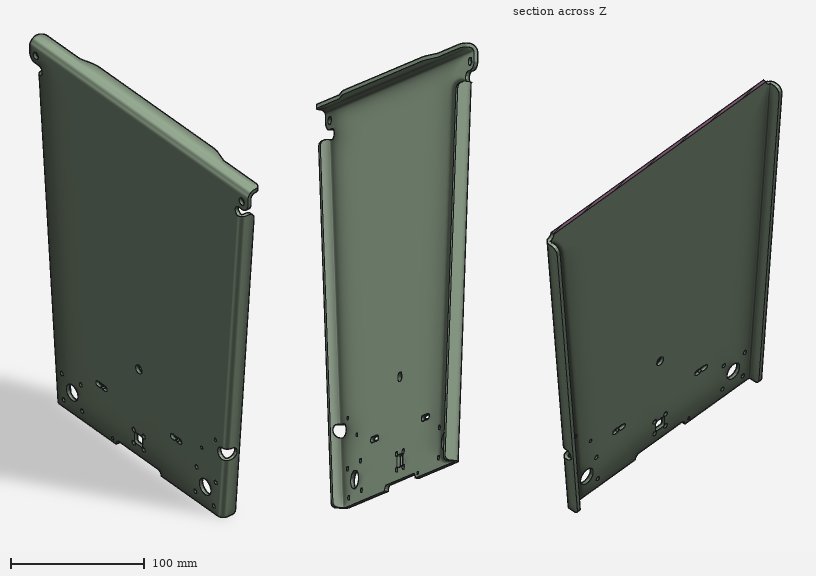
import cadquery as cq
import math

width = 262.0
height = 313.0
depth = 17.0
sheet = 3.0

top_bend = 7.2
lip_end_depth = 12.5
lip_end_radius = 5.3
lip_step_outer_x = 86.5
lip_step_inner_x = 72.0
lip_step_radius = 25.0

lug_bottom_z = 294.0
lug_radius = 7.0
lug_hole_x = 123.7
lug_hole_z = 301.0
lug_hole_diameter = 6.0
relief_tip_x = 116.0
flange_top_z = 285.5

panel_top_half = 123.0
panel_bottom_half = 100.2
flange_depth = 12.8
side_bend = 5.0
flange_top_radius = 6.0
flange_bottom_radius = 3.5

recess_half = 27.0
recess_height = 4.0
recess_radius = 3.8

center_hole_z = 82.5
center_hole_diameter = 7.2
slot_x = 44.8
slot_z = 43.2
slot_length = 13.5
slot_height = 4.5
slot_tab_radius = 1.3
port_x = 79.8
port_z = 18.5
port_diameter = 13.8
square_side = 9.7
square_corner_radius = 2.0
square_screw_offset = 6.0
square_screw_diameter = 3.8
screw_points = [(92.5, 29.0), (69.5, 31.0), (90.2, 6.5), (68.0, 8.0)]
screw_diameter = 3.5
pin_points = [(92.0, 67.5), (75.8, 52.0), (-31.3, 3.0)]
pin_diameter = 2.5

notch_x = 100.2
notch_z = 59.5
notch_diameter = 10.5
notch_center_y = 5.3


def front_plane(y=0.0):
    """XZ plane at the given Y; positive extrusion goes toward -Y."""
    return cq.Workplane("XZ", origin=(0, y, 0))


def tapered_prism(inset, front_y, bend_radius):
    """Tapered block with rounded front side edges, each slanted side moved in by `inset`."""
    taper = math.atan2(panel_top_half - panel_bottom_half, flange_top_z)
    side_shift = inset / math.cos(taper)
    bottom_half = panel_bottom_half - side_shift
    top_half = panel_top_half - side_shift
    outline = [
        (-bottom_half, 0),
        (bottom_half, 0),
        (top_half, flange_top_z),
        (-top_half, flange_top_z),
    ]
    block = front_plane(front_y).polyline(outline).close().extrude(front_y - flange_depth)
    return block.edges("<Y and (not |X)").fillet(bend_radius)


def tapered_panel():
    panel = tapered_prism(0, 0, side_bend).cut(tapered_prism(sheet, sheet, side_bend - sheet))
    envelope = (
        cq.Workplane("YZ")
        .rect(flange_depth, flange_top_z)
        .extrude(panel_top_half, both=True)
        .translate((0, flange_depth / 2, flange_top_z / 2))
    )
    envelope = envelope.edges("|X and >Y and >Z").fillet(flange_top_radius)
    envelope = envelope.edges("|X and >Y and <Z").fillet(flange_bottom_radius)
    return panel.intersect(envelope)


def lip_outline():
    """Plan shape of the top strip: shallow rounded ends and a deeper middle."""
    points = [
        (-width / 2, 0),
        (width / 2, 0),
        (width / 2, lip_end_depth),
        (lip_step_outer_x, lip_end_depth),
        (lip_step_inner_x, depth),
        (-lip_step_inner_x, depth),
        (-lip_step_outer_x, lip_end_depth),
        (-width / 2, lip_end_depth),
    ]
    plan = cq.Workplane("XY").polyline(points).close().extrude(height)
    plan = plan.edges("|Z and (<X or >X) and (not <Y)").fillet(lip_end_radius)
    return plan.edges("|Z and >Y").fillet(lip_step_radius)


def top_strip():
    profile = (
        cq.Workplane("YZ")
        .moveTo(0, flange_top_z)
        .lineTo(0, height - top_bend)
        .radiusArc((top_bend, height), top_bend)
        .lineTo(depth, height)
        .lineTo(depth, height - sheet)
        .lineTo(top_bend, height - sheet)
        .radiusArc((sheet, height - top_bend), sheet - top_bend)
        .lineTo(sheet, flange_top_z)
        .close()
    )
    strip = profile.extrude(width / 2, both=True).intersect(lip_outline())
    relief_diameter = lug_bottom_z - flange_top_z
    relief_z = (lug_bottom_z + flange_top_z) / 2
    relief_length = width - 2 * relief_tip_x
    reliefs = (
        front_plane()
        .pushPoints([(-width / 2, relief_z), (width / 2, relief_z)])
        .slot2D(relief_length, relief_diameter)
        .extrude(-sheet)
    )
    below_lugs = (
        front_plane()
        .pushPoints([(-width / 2, relief_z), (width / 2, relief_z)])
        .rect(relief_diameter, relief_diameter)
        .extrude(-sheet)
    )
    strip = strip.cut(reliefs).cut(below_lugs)
    for side in ("<X", ">X"):
        strip = strip.faces(side).edges("|Y and <Z").fillet(lug_radius)
    lug_holes = (
        front_plane()
        .pushPoints([(-lug_hole_x, lug_hole_z), (lug_hole_x, lug_hole_z)])
        .circle(lug_hole_diameter / 2)
        .extrude(-sheet)
    )
    return strip.cut(lug_holes)


def round_holes(points, diameter):
    """Cylinders through the sheet thickness at the given (x, z) points."""
    return front_plane().pushPoints(points).circle(diameter / 2).extrude(-sheet)


def mirrored(points):
    return points + [(-x, z) for x, z in points]


def bottom_recess():
    block = cq.Workplane("XY").box(2 * recess_half, sheet, recess_height, centered=(True, False, False))
    return block.edges("|Y and >Z").fillet(recess_radius)


def square_opening():
    """Rounded square window with a screw hole just outside each corner."""
    square = front_plane().center(0, port_z).rect(square_side, square_side).extrude(-sheet)
    square = square.edges("|Y").fillet(square_corner_radius)
    screws = (
        front_plane()
        .center(0, port_z)
        .rect(2 * square_screw_offset, 2 * square_screw_offset, forConstruction=True)
        .vertices()
        .circle(square_screw_diameter / 2)
        .extrude(-sheet)
    )
    return square.union(screws)


def tabbed_slots():
    """Pair of horizontal slots, each with a small round tab on the middle of its lower side."""
    centers = mirrored([(slot_x, slot_z)])
    slots = front_plane().pushPoints(centers).slot2D(slot_length, slot_height).extrude(-sheet)
    tabs = round_holes([(x, z - slot_height / 2) for x, z in centers], 2 * slot_tab_radius)
    return slots.cut(tabs)


def flange_notch():
    """Round-ended opening that runs from the panel around the bend into the +X flange."""
    panel_part = front_plane().center(notch_x, notch_z).circle(notch_diameter / 2).extrude(-side_bend)
    bend_part = (
        cq.Workplane("XY")
        .box(2 * notch_diameter, notch_center_y, notch_diameter, centered=(False, False, True))
        .translate((notch_x, 0, notch_z))
    )
    flange_part = (
        cq.Workplane("YZ", origin=(notch_x, 0, 0))
        .center(notch_center_y, notch_z)
        .circle(notch_diameter / 2)
        .extrude(2 * notch_diameter)
    )
    return panel_part.union(bend_part).union(flange_part)


openings = [
    bottom_recess(),
    square_opening(),
    flange_notch(),
    tabbed_slots(),
    round_holes([(0, center_hole_z)], center_hole_diameter),
    round_holes(mirrored([(port_x, port_z)]), port_diameter),
    round_holes(mirrored(screw_points), screw_diameter),
    round_holes(pin_points, pin_diameter),
]

result = tapered_panel().union(top_strip())
for opening in openings:
    result = result.cut(opening)